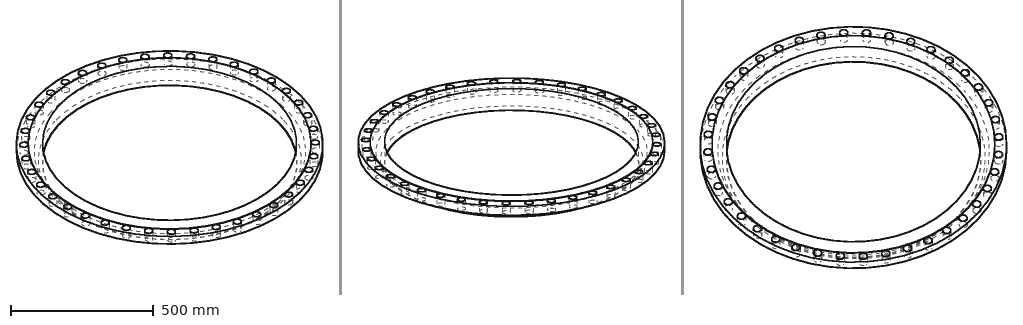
import cadquery as cq
import math

outer_diameter = 1073.15
bore_diameter = 889.0
overall_height = 84.14

flange_thickness = 34.0
raised_face_base_diameter = 991.0
raised_face_height = 1.6
raised_face_edge_angle = 70.0

hub_top_diameter = 944.0
hub_end_diameter = 921.0
hub_flare_height = 5.0
hub_flare_angle = 32.0

weld_land_width = 1.6
weld_bevel_angle = 37.5

bolt_count = 40
bolt_circle_diameter = 1019.7
bolt_hole_diameter = 28.575

flange_top = overall_height - raised_face_height
flange_bottom = flange_top - flange_thickness
hub_top = flange_bottom - hub_flare_height

outer_radius = outer_diameter / 2
bore_radius = bore_diameter / 2
raised_face_base_radius = raised_face_base_diameter / 2
raised_face_top_radius = raised_face_base_radius - raised_face_height / math.tan(
    math.radians(raised_face_edge_angle)
)
hub_top_radius = hub_top_diameter / 2
flare_radius = hub_top_radius + hub_flare_height * math.tan(math.radians(hub_flare_angle))
hub_end_radius = hub_end_diameter / 2
weld_land_radius = bore_radius + weld_land_width
bevel_height = (hub_end_radius - weld_land_radius) * math.tan(math.radians(weld_bevel_angle))


def make_ring():
    """Revolve the flange, raised face, tapered hub and weld bevel about Z, starting on the -X side."""
    section = (
        cq.Workplane("XZ")
        .moveTo(-bore_radius, 0)
        .lineTo(-weld_land_radius, 0)
        .lineTo(-hub_end_radius, bevel_height)
        .lineTo(-hub_top_radius, hub_top)
        .lineTo(-flare_radius, flange_bottom)
        .lineTo(-outer_radius, flange_bottom)
        .lineTo(-outer_radius, flange_top)
        .lineTo(-raised_face_base_radius, flange_top)
        .lineTo(-raised_face_top_radius, overall_height)
        .lineTo(-bore_radius, overall_height)
        .close()
    )
    return section.revolve(360, (0, 0, 0), (0, 1, 0))


def make_bolt_holes():
    """Cylinders spanning the full height on the bolt circle, the first one on +X."""
    return (
        cq.Workplane("XY")
        .polarArray(bolt_circle_diameter / 2, 0, 360, bolt_count)
        .circle(bolt_hole_diameter / 2)
        .extrude(overall_height)
    )


result = make_ring().cut(make_bolt_holes())